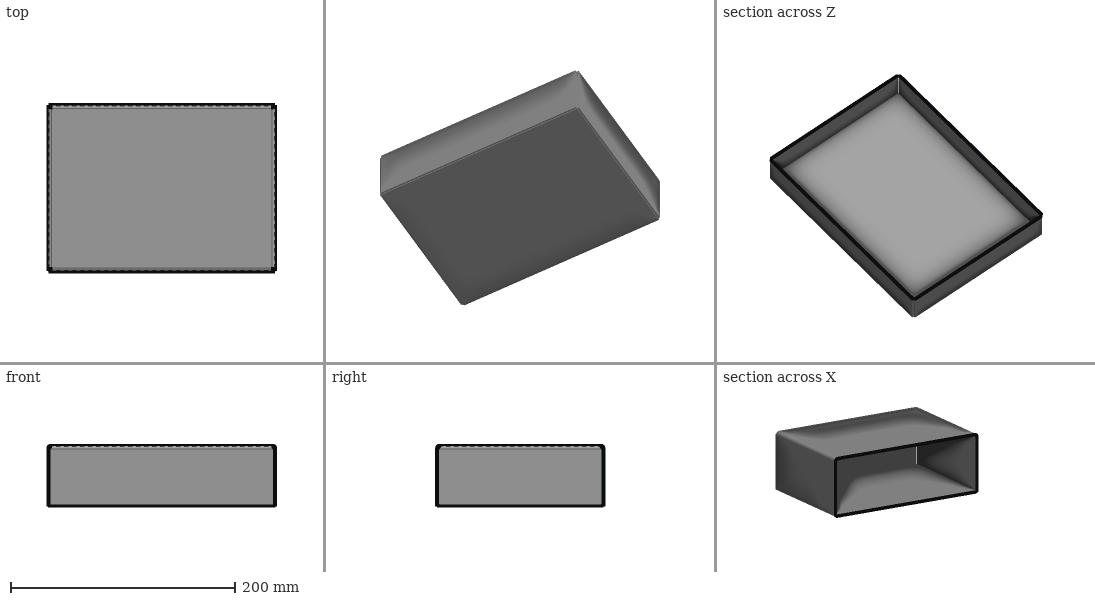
import cadquery as cq

LENGTH = 204.0
WIDTH = 150.0
HEIGHT = 55.0
THICKNESS = 1.6
BEND_RADIUS = 3.7
FLANGE_SETBACK = 1.8
PLATE_PROTRUSION = 0.8

TOP = HEIGHT / 2
PLATE_BOTTOM = -HEIGHT / 2
FLANGE_BOTTOM = PLATE_BOTTOM + PLATE_PROTRUSION


def bent_channel(span, run):
    """Make an inverted U along Y, with its two top edges bent round."""
    outer = cq.Workplane("XY").box(span, run, HEIGHT).edges("|Y and >Z").fillet(BEND_RADIUS)
    inner = (
        cq.Workplane("XY")
        .box(span - 2 * THICKNESS, run, HEIGHT)
        .edges("|Y and >Z")
        .fillet(BEND_RADIUS - THICKNESS)
        .translate((0, 0, -THICKNESS))
    )
    return outer.cut(inner)


def flange_envelope(run):
    """Make the side outline that tapers the flange ends across the bend."""
    half_flange = run / 2 - FLANGE_SETBACK
    half_panel = run / 2 - BEND_RADIUS
    bend_line = TOP - BEND_RADIUS
    return (
        cq.Workplane("YZ")
        .polyline([
            (-half_flange, FLANGE_BOTTOM),
            (half_flange, FLANGE_BOTTOM),
            (half_flange, bend_line),
            (half_panel, TOP),
            (-half_panel, TOP),
            (-half_flange, bend_line),
        ])
        .close()
        .extrude(LENGTH, both=True)
    )


def flanged_panel(span, run):
    """Make the top panel with one opposite pair of folded flanges."""
    return bent_channel(span, run).intersect(flange_envelope(run))


end_flanges = flanged_panel(LENGTH, WIDTH)
long_flanges = flanged_panel(WIDTH, LENGTH).rotate((0, 0, 0), (0, 0, 1), 90)

base_plate = (
    cq.Workplane("XY")
    .box(LENGTH - 2 * THICKNESS, WIDTH - 2 * THICKNESS, THICKNESS, centered=(True, True, False))
    .translate((0, 0, PLATE_BOTTOM))
)

result = end_flanges.union(long_flanges).union(base_plate)